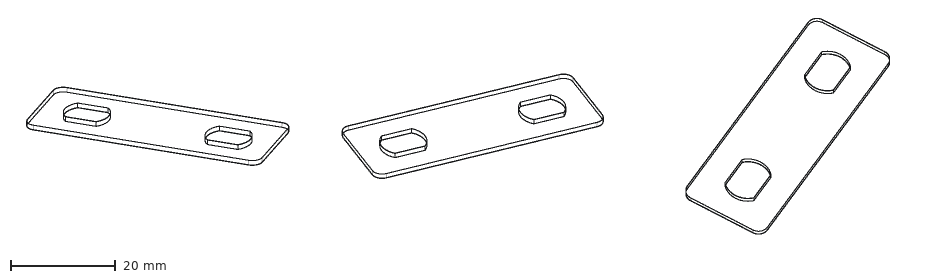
import cadquery as cq

length = 48.0
width = 18.0
thickness = 1.0
corner_radius = 2.0

hole_spacing = 29.0
hole_diameter = 9.0
flat_distance = 6.5


def double_d_cutter(x_center):
    """Solid that cuts one double-D hole through the plate."""
    cylinder = cq.Workplane("XY").circle(hole_diameter / 2).extrude(thickness)
    flats = cq.Workplane("XY").rect(hole_diameter, flat_distance).extrude(thickness)
    return cylinder.intersect(flats).translate((x_center, 0, 0))


plate = cq.Workplane("XY").rect(length, width).extrude(thickness)
plate = plate.edges("|Z").fillet(corner_radius)

for side in (-1, 1):
    plate = plate.cut(double_d_cutter(side * hole_spacing / 2))

result = plate